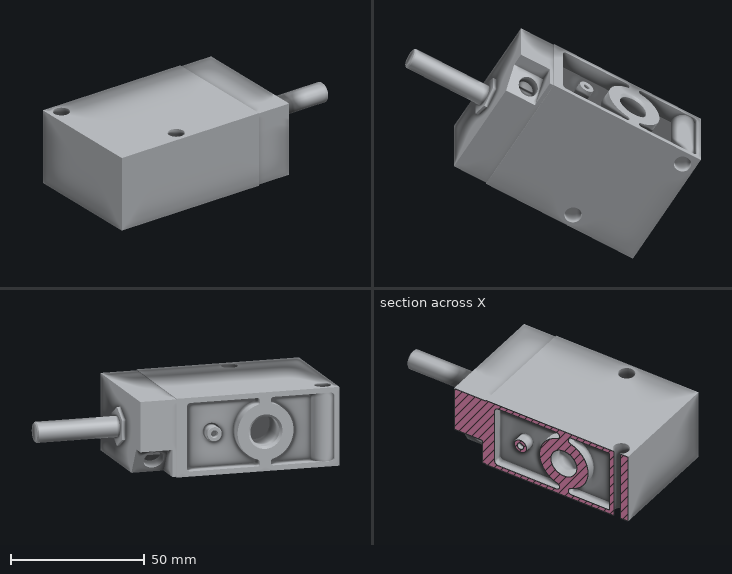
import cadquery as cq
import math

BODY_WIDTH = 50.0
BODY_LENGTH = 64.0
BODY_HEIGHT = 30.4
SIDE_X = -BODY_WIDTH / 2

CAP_INSET = 0.3
CAP_LENGTH = 14.2
CAP_WIDTH = BODY_WIDTH - 2 * CAP_INSET
CAP_HEIGHT = BODY_HEIGHT - 2 * CAP_INSET
CAP_END_Y = BODY_LENGTH + CAP_LENGTH

TOTAL_LENGTH = 112.0
NUT_SIDES = 6
NUT_ACROSS_FLATS = 13.0
NUT_THICKNESS = 1.4
CABLE_DIAMETER = 8.0
CABLE_CHAMFER = 0.5

MOUNT_DIAMETER = 6.5
MOUNT_X = 20.0
FRONT_MOUNT_Y = 5.0
COLUMN_RADIUS = 4.65

POCKET_DEPTH = 6.0
POCKET_START_Y = 1.8
POCKET_END_Y = 60.0
POCKET_WALL = 2.0
POCKET_HEIGHT = BODY_HEIGHT - 2 * POCKET_WALL
POCKET_CORNER_RADIUS = 1.5

BOSS_Y = 29.0
BOSS_DIAMETER = 22.0
WEB_WIDTH = 4.2
WEB_CORNER_RADIUS = 1.15
BORE_DIAMETER = 11.45
BORE_MOUTH_DIAMETER = 13.3
BORE_CHAMFER = (BORE_MOUTH_DIAMETER - BORE_DIAMETER) / 2
BORE_DEPTH = 13.0
REAR_MOUNT_Y = BOSS_Y

PIN_Y = 48.5
PIN_DIAMETER = 5.8
PIN_LENGTH = 4.1
PIN_CHAMFER = 0.2
SEAT_DIAMETER = 5.9
SEAT_MOUTH_DIAMETER = 7.0
SEAT_DEPTH = (SEAT_MOUTH_DIAMETER - SEAT_DIAMETER) / 2
SOCKET_DIAMETER = 2.46
SOCKET_DEPTH = 2.0
SOCKET_CHAMFER = 0.25

NOTCH_TOP_Z = -4.5
NOTCH_START_Y = 65.6
NOTCH_ROOF_DEPTH = 5.0
NOTCH_ANGLE = 30.0
SCREW_Y = 70.3
SCREW_RECESS_DIAMETER = 8.0
SCREW_RECESS_DEPTH = 5.3
SCREW_HEAD_DIAMETER = 7.0
SCREW_HEAD_HEIGHT = 2.0
SCREW_SLOT_WIDTH = 1.2
SCREW_SLOT_DEPTH = 1.3


def side_plane(depth, y=0.0):
    """Plane parallel to the pocketed side: local X is -Y, local Y is Z, the normal points out."""
    return cq.Workplane(cq.Plane((SIDE_X + depth, y, 0), xDir=(0, -1, 0), normal=(-1, 0, 0)))


def rear_plane(y):
    """Plane normal to +Y; local X is -X and local Y is Z."""
    return cq.Workplane(cq.Plane((0, y, 0), xDir=(-1, 0, 0), normal=(0, 1, 0)))


def make_pocket():
    """Volume removed from the side, leaving the boss, its web and the hole column."""
    length = POCKET_END_Y - POCKET_START_Y
    middle_y = (POCKET_START_Y + POCKET_END_Y) / 2
    pocket = (
        side_plane(0, middle_y)
        .rect(length, POCKET_HEIGHT)
        .extrude(-POCKET_DEPTH)
        .edges("|X")
        .fillet(POCKET_CORNER_RADIUS)
    )
    boss = side_plane(0, BOSS_Y).circle(BOSS_DIAMETER / 2).extrude(-POCKET_DEPTH)
    web = side_plane(0, BOSS_Y).rect(WEB_WIDTH, POCKET_HEIGHT).extrude(-POCKET_DEPTH)
    web_zone = cq.selectors.BoxSelector(
        (SIDE_X, BOSS_Y - WEB_WIDTH, -BODY_HEIGHT / 2),
        (SIDE_X + POCKET_DEPTH, BOSS_Y + WEB_WIDTH, BODY_HEIGHT / 2),
    )
    pocket = pocket.cut(boss).cut(web).edges("|X").edges(web_zone).fillet(WEB_CORNER_RADIUS)
    column = (
        cq.Workplane("XY", origin=(-MOUNT_X, FRONT_MOUNT_Y, -BODY_HEIGHT / 2))
        .circle(COLUMN_RADIUS)
        .extrude(BODY_HEIGHT)
    )
    return pocket.cut(column)


def make_bore():
    bore = side_plane(0, BOSS_Y).circle(BORE_DIAMETER / 2).extrude(-BORE_DEPTH)
    mouth = (
        side_plane(0, BOSS_Y)
        .circle(BORE_MOUTH_DIAMETER / 2)
        .workplane(offset=-BORE_CHAMFER)
        .circle(BORE_DIAMETER / 2)
        .loft()
    )
    return bore.union(mouth)


def make_pin_seat():
    return (
        side_plane(POCKET_DEPTH, PIN_Y)
        .circle(SEAT_MOUTH_DIAMETER / 2)
        .workplane(offset=-SEAT_DEPTH)
        .circle(SEAT_DIAMETER / 2)
        .loft()
    )


def make_pin():
    """Pin rising from the bottom of its seat, with a blind socket in its tip."""
    pin = (
        side_plane(POCKET_DEPTH + SEAT_DEPTH, PIN_Y)
        .circle(PIN_DIAMETER / 2)
        .extrude(SEAT_DEPTH + PIN_LENGTH)
        .faces("<X")
        .chamfer(PIN_CHAMFER)
    )
    tip_depth = POCKET_DEPTH - PIN_LENGTH
    socket = side_plane(tip_depth, PIN_Y).circle(SOCKET_DIAMETER / 2).extrude(-SOCKET_DEPTH)
    mouth = (
        side_plane(tip_depth, PIN_Y)
        .circle(SOCKET_DIAMETER / 2 + SOCKET_CHAMFER)
        .workplane(offset=-SOCKET_CHAMFER)
        .circle(SOCKET_DIAMETER / 2)
        .loft()
    )
    return pin.cut(socket).cut(mouth)


def make_body():
    body = cq.Workplane("XY").box(BODY_WIDTH, BODY_LENGTH, BODY_HEIGHT, centered=(True, False, True))
    body = body.cut(make_pocket()).cut(make_bore())
    body = body.cut(make_pin_seat()).union(make_pin())
    mount_holes = (
        cq.Workplane("XY", origin=(0, 0, -BODY_HEIGHT / 2))
        .pushPoints([(-MOUNT_X, FRONT_MOUNT_Y), (MOUNT_X, REAR_MOUNT_Y)])
        .circle(MOUNT_DIAMETER / 2)
        .extrude(BODY_HEIGHT)
    )
    return body.cut(mount_holes)


def make_screw_recess(face_x):
    """Recess normal to the sloping notch face, whose middle lies at face_x.

    The slotted screw head is left standing on the recess floor.
    """
    slope = math.radians(NOTCH_ANGLE)
    centre = (face_x, SCREW_Y, (NOTCH_TOP_Z - CAP_HEIGHT / 2) / 2)
    outward = (-math.cos(slope), 0, -math.sin(slope))
    face = cq.Workplane(cq.Plane(centre, xDir=(0, -1, 0), normal=outward))
    recess = face.circle(SCREW_RECESS_DIAMETER / 2).extrude(-SCREW_RECESS_DEPTH)
    floor = face.workplane(offset=-SCREW_RECESS_DEPTH)
    head = floor.circle(SCREW_HEAD_DIAMETER / 2).extrude(SCREW_HEAD_HEIGHT)
    slot = (
        floor.workplane(offset=SCREW_HEAD_HEIGHT)
        .rect(SCREW_HEAD_DIAMETER, SCREW_SLOT_WIDTH)
        .extrude(-SCREW_SLOT_DEPTH)
    )
    return recess.cut(head.cut(slot))


def make_cap():
    cap = cq.Workplane("XY", origin=(0, BODY_LENGTH, 0)).box(
        CAP_WIDTH, CAP_LENGTH, CAP_HEIGHT, centered=(True, False, True)
    )
    bottom_z = -CAP_HEIGHT / 2
    edge_x = -CAP_WIDTH / 2
    roof_x = edge_x + NOTCH_ROOF_DEPTH
    foot_x = roof_x + (NOTCH_TOP_Z - bottom_z) * math.tan(math.radians(NOTCH_ANGLE))
    notch = (
        cq.Workplane("XZ", origin=(0, NOTCH_START_Y, 0))
        .moveTo(edge_x, NOTCH_TOP_Z)
        .lineTo(edge_x, bottom_z)
        .lineTo(foot_x, bottom_z)
        .lineTo(roof_x, NOTCH_TOP_Z)
        .close()
        .extrude(-(CAP_END_Y - NOTCH_START_Y))
    )
    return cap.cut(notch).cut(make_screw_recess((roof_x + foot_x) / 2))


def make_cable_outlet():
    """Hexagon nut with corners up and down, and the cable leaving through it."""
    across_corners = NUT_ACROSS_FLATS / math.cos(math.pi / NUT_SIDES)
    nut = (
        rear_plane(CAP_END_Y)
        .transformed(rotate=(0, 0, 90))
        .polygon(NUT_SIDES, across_corners)
        .extrude(NUT_THICKNESS)
    )
    cable = (
        rear_plane(CAP_END_Y)
        .circle(CABLE_DIAMETER / 2)
        .extrude(TOTAL_LENGTH - CAP_END_Y)
        .faces(">Y")
        .chamfer(CABLE_CHAMFER)
    )
    return nut.union(cable)


result = make_body().union(make_cap()).union(make_cable_outlet())